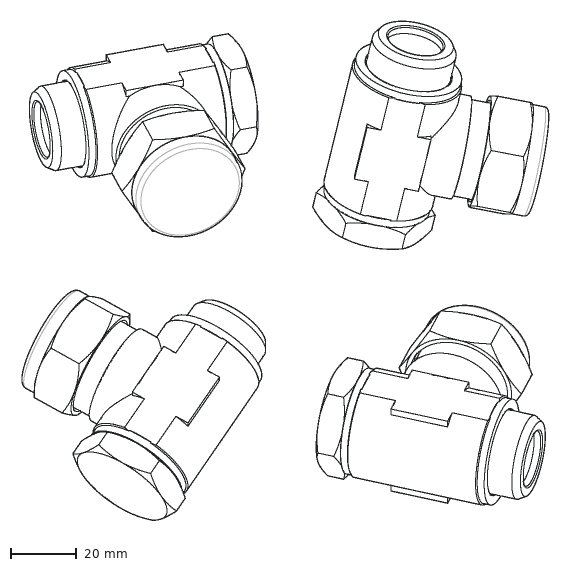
import cadquery as cq
import math

overall_length = 64.0

body_radius = 16.95
body_half_length = 20.8
body_end_chamfer = 0.3
flat_half_thickness = 16.0
pad_width = 19.85
pad_length = 18.2

washer_radius = 16.45
washer_inner_face = body_half_length - body_end_chamfer
washer_outer_face = 23.05
body_end_step = body_radius - washer_radius

head_across_flats = 32.0
head_end = 31.0

stud_radius = 13.05
stud_end = head_end - overall_length
stud_chamfer_radial = 1.4
stud_chamfer_length = 2.3
washer_recess_radius = 13.5
washer_recess_depth = 0.5
stud_bore_radius = 8.6
stud_bore_depth = 2.55
stud_bore_chamfer = 0.45

branch_radius = 15.95
branch_end = 21.05
neck_radius = 14.9
nut_across_flats = 34.0
nut_start = 26.9
nut_end = 39.95
nut_recess_radius = 15.7
nut_recess_depth = 3.85
collar_radius = 16.9
collar_end = 45.0
collar_edge_round = 1.2

hex_chamfer_angle = math.radians(30)


def cylinder_y(radius, y_start, y_end):
    """Solid cylinder on the Y axis."""
    plane = cq.Plane(origin=(0, y_start, 0), xDir=(1, 0, 0), normal=(0, 1, 0))
    return cq.Workplane(plane).circle(radius).extrude(y_end - y_start)


def cylinder_x(radius, x_start, x_end):
    """Solid cylinder on the X axis."""
    plane = cq.Plane(origin=(x_start, 0, 0), xDir=(0, 1, 0), normal=(1, 0, 0))
    return cq.Workplane(plane).circle(radius).extrude(x_end - x_start)


def chamfered_hexagon(across_flats, height):
    """Hexagon on the Z axis with corners on +-X and conical chamfers at both ends."""
    flat_radius = across_flats / 2
    corner_radius = flat_radius / math.cos(math.pi / 6)
    drop = (corner_radius - flat_radius) * math.tan(hex_chamfer_angle)
    prism = cq.Workplane("XY").polygon(6, 2 * corner_radius).extrude(height)
    turned_blank = (
        cq.Workplane("XZ")
        .moveTo(0, 0)
        .lineTo(flat_radius, 0)
        .lineTo(corner_radius, drop)
        .lineTo(corner_radius, height - drop)
        .lineTo(flat_radius, height)
        .lineTo(0, height)
        .close()
        .revolve(360, (0, 0, 0), (0, 1, 0))
    )
    return prism.intersect(turned_blank)


def main_body():
    """Cylinder with top and bottom flats, pads and the branch stub."""
    barrel = cylinder_y(body_radius, -body_half_length, body_half_length)
    barrel = barrel.faces("<Y or >Y").chamfer(body_end_chamfer, body_end_step)
    flat_slab = cq.Workplane("XY").box(
        2 * body_radius, 2 * body_half_length, 2 * flat_half_thickness
    )
    pad = cq.Workplane("XY").box(pad_width, pad_length, 2 * flat_half_thickness)
    stub = cylinder_x(branch_radius, 0, branch_end)
    return barrel.intersect(flat_slab).union(pad).union(stub)


def banjo_bolt():
    """Both washers, the hexagon head and the stud with its shallow end bore."""
    head_washer = cylinder_y(washer_radius, washer_inner_face, washer_outer_face)
    head = (
        chamfered_hexagon(head_across_flats, head_end - washer_outer_face)
        .rotate((0, 0, 0), (1, 0, 0), -90)
        .translate((0, washer_outer_face, 0))
    )
    stud_washer = cylinder_y(washer_radius, -washer_outer_face, -washer_inner_face)
    recess = cylinder_y(
        washer_recess_radius, -washer_outer_face, -washer_outer_face + washer_recess_depth
    )
    stud = cylinder_y(stud_radius, stud_end, -washer_inner_face)
    stud = stud.faces("<Y").chamfer(stud_chamfer_length, stud_chamfer_radial)
    bore = cylinder_y(stud_bore_radius, stud_end, stud_end + stud_bore_depth)
    smallest_circle = cq.selectors.RadiusNthSelector(0)
    stud = stud.cut(bore).faces("<Y").edges(smallest_circle).chamfer(stud_bore_chamfer)
    return head_washer.union(head).union(stud_washer.cut(recess)).union(stud)


def branch_union():
    """Neck, union nut and rounded end collar of the branch."""
    recess_end = nut_start + nut_recess_depth
    neck = cylinder_x(neck_radius, 0, recess_end)
    recess = cylinder_x(nut_recess_radius, nut_start, recess_end)
    nut = (
        chamfered_hexagon(nut_across_flats, nut_end - nut_start)
        .rotate((0, 0, 0), (0, 0, 1), 90)
        .rotate((0, 0, 0), (0, 1, 0), 90)
        .translate((nut_start, 0, 0))
    )
    collar = cylinder_x(collar_radius, nut_end, collar_end)
    collar = collar.faces(">X").edges().fillet(collar_edge_round)
    return nut.cut(recess).union(neck).union(collar)


result = main_body().union(banjo_bolt()).union(branch_union())